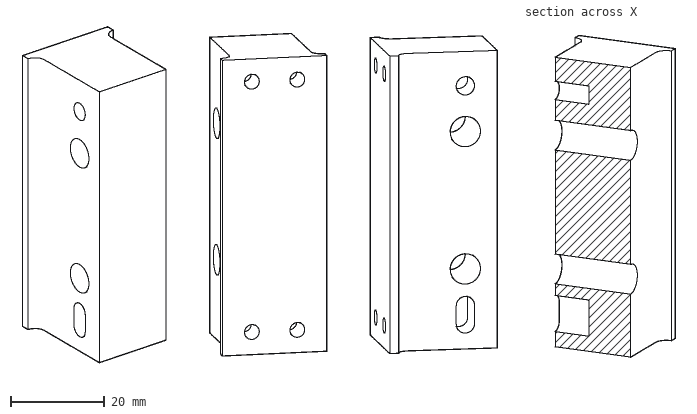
import cadquery as cq
import math

length_x = 24.0
flange_width = 23.0
height = 65.0

flange_thickness = 2.0
fillet_radius = 2.5
body_width = flange_width - 2 * fillet_radius

cross_hole_x = 17.0
bolt_hole_diameter = 6.6
bolt_spacing = 30.0
bolt_center_z = height / 2
pin_diameter = 4.0
pin_spacing = 50.0
pin_depth = 8.0
slot_length = 8.0

tap_drill_diameter = 3.24
tap_drill_depth = 8.0
tap_tip_angle = 118.0
tap_spacing_y = 10.0
tap_edge_distance = 5.0


def make_body():
    """Flanged block whose flange blends into the body with concave quarter arcs."""
    half_flange = flange_width / 2
    half_body = body_width / 2
    fillet_end_x = flange_thickness + fillet_radius
    return (
        cq.Workplane("XY")
        .moveTo(0, -half_flange)
        .lineTo(flange_thickness, -half_flange)
        .radiusArc((fillet_end_x, -half_body), fillet_radius)
        .lineTo(length_x, -half_body)
        .lineTo(length_x, half_body)
        .lineTo(fillet_end_x, half_body)
        .radiusArc((flange_thickness, half_flange), fillet_radius)
        .lineTo(0, half_flange)
        .close()
        .extrude(height)
    )


def front_plane(z):
    """Sketch plane on the -Y face of the body, at the cross-hole line; +normal points into the part."""
    plane = cq.Plane(origin=(cross_hole_x, -body_width / 2, z), xDir=(1, 0, 0), normal=(0, 1, 0))
    return cq.Workplane(plane)


def make_bolt_holes():
    """Two clearance holes through the full width of the body."""
    holes = cq.Workplane("XY")
    for side in (-1, 1):
        z = bolt_center_z + side * bolt_spacing / 2
        holes = holes.add(front_plane(z).circle(bolt_hole_diameter / 2).extrude(body_width))
    return holes.combine()


def make_pin_hole():
    """Blind round locating hole near the top."""
    z = bolt_center_z + pin_spacing / 2
    return front_plane(z).circle(pin_diameter / 2).extrude(pin_depth)


def make_pin_slot():
    """Blind vertical locating slot near the bottom."""
    z = bolt_center_z - pin_spacing / 2
    return front_plane(z).slot2D(slot_length, pin_diameter, 90).extrude(pin_depth)


def drill_tap_holes(body):
    """Four blind tapping holes at the corners of the mounting face."""
    radius = tap_drill_diameter / 2
    tip_length = radius / math.tan(math.radians(tap_tip_angle / 2))
    drill = (
        cq.Workplane("XY")
        .moveTo(0, 0)
        .lineTo(0, radius)
        .lineTo(tap_drill_depth, radius)
        .lineTo(tap_drill_depth + tip_length, 0)
        .close()
        .revolve(360, (0, 0, 0), (1, 0, 0))
    )
    for side in (-1, 1):
        for z in (tap_edge_distance, height - tap_edge_distance):
            body = body.cut(drill.translate((0, side * tap_spacing_y / 2, z)))
    return body


result = make_body().cut(make_bolt_holes()).cut(make_pin_hole()).cut(make_pin_slot())
result = drill_tap_holes(result)